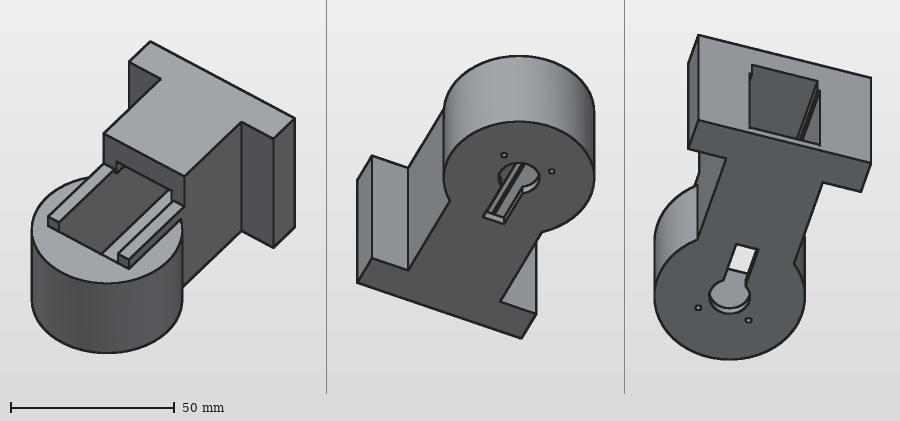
import cadquery as cq

total_length = 82.0
total_height = 47.5

flange_width = 55.0
flange_depth = 11.0

arm_width = 30.75
arm_depth = 40.1

housing_diameter = 46.0
housing_height = 30.4

rail_width = 4.2
rail_top = 34.4
rail_end = 68.5

channel_width = arm_width - 2 * rail_width
floor_thickness = 3.0
step_height = 33.1
upper_channel_width = 20.8
upper_channel_top = 38.2

keyhole_diameter = 12.5
keyhole_slot_width = 7.05
screw_hole_diameter = 1.7
screw_spacing = 16.0
screw_offset = 6.65

rear_y = total_length
arm_front_y = rear_y - arm_depth
rail_front_y = rear_y - rail_end
housing_y = housing_diameter / 2


def centered_box(width, front_y, back_y, bottom, top):
    """Box symmetric about the YZ plane."""
    size_y = back_y - front_y
    box = cq.Workplane("XY").box(width, size_y, top - bottom, centered=(True, False, False))
    return box.translate((0, front_y, bottom))


def upright_cylinder(diameter, x, y, height):
    """Vertical cylinder standing on Z = 0."""
    return cq.Workplane("XY").center(x, y).circle(diameter / 2).extrude(height)


def make_body():
    flange = centered_box(flange_width, rear_y - flange_depth, rear_y, 0, total_height)
    arm = centered_box(arm_width, arm_front_y, rear_y, 0, total_height)
    rail_block = centered_box(arm_width, rail_front_y, rear_y, 0, rail_top)
    housing = upright_cylinder(housing_diameter, 0, housing_y, housing_height)
    return flange.union(arm).union(rail_block).union(housing)


def make_channel():
    lower = centered_box(channel_width, rail_front_y, rear_y, floor_thickness, step_height)
    upper = centered_box(upper_channel_width, arm_front_y, rear_y, step_height, upper_channel_top)
    between_rails = centered_box(channel_width, rail_front_y, arm_front_y, step_height, rail_top)
    return lower.union(upper).union(between_rails)


def make_floor_openings():
    openings = upright_cylinder(keyhole_diameter, 0, housing_y, floor_thickness)
    slot = centered_box(keyhole_slot_width, housing_y, arm_front_y, 0, floor_thickness)
    openings = openings.union(slot)
    for side in (-1, 1):
        x = side * screw_spacing / 2
        y = housing_y - screw_offset
        openings = openings.union(upright_cylinder(screw_hole_diameter, x, y, floor_thickness))
    return openings


result = make_body().cut(make_channel()).cut(make_floor_openings())